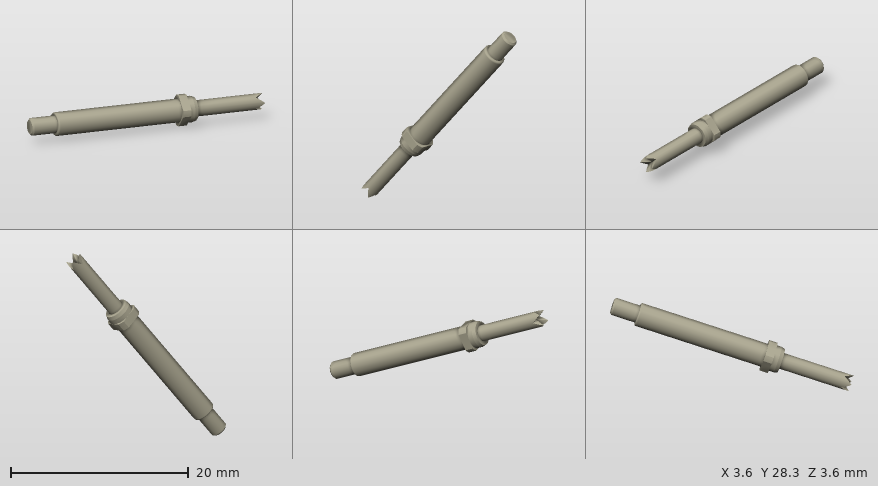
import cadquery as cq
import math

total_length = 28.3
tail_end = 3.0
flange_start = 18.0
flange_end = 19.0
collar_cone_start = 19.58
collar_end = 20.0

tail_diameter = 2.0
body_diameter = 2.7
flange_corner_diameter = 3.6
flange_across_flats = 3.0
collar_diameter = flange_across_flats
collar_end_diameter = 2.75
plunger_diameter = 1.85

tail_chamfer = 0.2
body_end_fillet = 0.2

crown_depth = 1.02

plunger_radius = plunger_diameter / 2


def turned_pin():
    """Revolve the half profile of the pin about the Y axis, with the tail end at the origin."""
    tail_radius = tail_diameter / 2
    body_radius = body_diameter / 2
    fillet_middle = body_end_fillet * (1 - math.cos(math.radians(45)))
    return (
        cq.Workplane("XY")
        .moveTo(0, 0)
        .lineTo(tail_radius - tail_chamfer, 0)
        .lineTo(tail_radius, tail_chamfer)
        .lineTo(tail_radius, tail_end)
        .lineTo(body_radius - body_end_fillet, tail_end)
        .threePointArc(
            (body_radius - fillet_middle, tail_end + fillet_middle),
            (body_radius, tail_end + body_end_fillet),
        )
        .lineTo(body_radius, flange_end)
        .lineTo(collar_diameter / 2, flange_end)
        .lineTo(collar_diameter / 2, collar_cone_start)
        .lineTo(collar_end_diameter / 2, collar_end)
        .lineTo(plunger_radius, collar_end)
        .lineTo(plunger_radius, total_length)
        .lineTo(0, total_length)
        .close()
        .revolve(360, (0, 0, 0), (0, 1, 0))
    )


def flange():
    """Square flange standing on its corner, with the corners turned round."""
    length = flange_end - flange_start
    plane = cq.Workplane("XZ", origin=(0, flange_start, 0))
    disc = plane.circle(flange_corner_diameter / 2).extrude(-length)
    tilted_plane = plane.transformed(rotate=(0, 0, 45))
    square = tilted_plane.rect(flange_across_flats, flange_across_flats).extrude(-length)
    return disc.intersect(square)


def crown_groove(angle):
    """V groove across the plunger tip, turned about the Y axis by the given angle."""
    half_width_at_tip = plunger_radius * math.cos(math.radians(45))
    groove_bottom = total_length - crown_depth
    v_height = 2 * crown_depth
    v_half_width = 2 * half_width_at_tip
    return (
        cq.Workplane("XY")
        .moveTo(0, groove_bottom)
        .lineTo(v_half_width, groove_bottom + v_height)
        .lineTo(-v_half_width, groove_bottom + v_height)
        .close()
        .extrude(plunger_diameter, both=True)
        .rotate((0, 0, 0), (0, 1, 0), angle)
    )


result = turned_pin().union(flange())
for groove_angle in (45, -45):
    result = result.cut(crown_groove(groove_angle))
result = result.translate((0, -total_length / 2, 0))